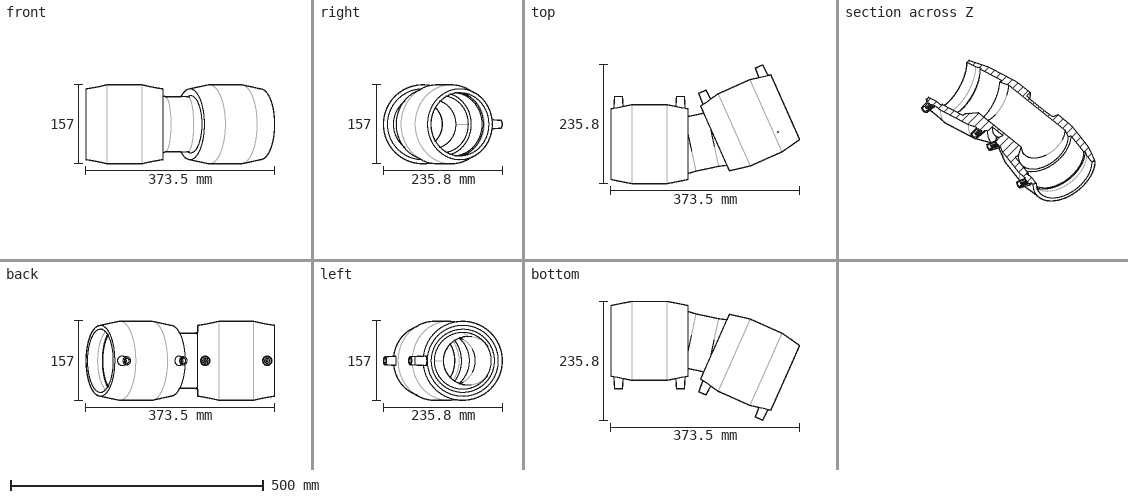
import cadquery as cq
import math


OVERALL_X = 373.5

BEND_ANGLE = 24.0
HALF_BEND = BEND_ANGLE / 2
MITRE_X = 157.0
MIDDLE_OUTER_D = 109.5
MIDDLE_BORE_D = 96.0
FLARE_START_X = 138.3
FUNNEL_END_X = 105.7

COUPLING_LENGTH = 152.5
COUPLING_OUTER_D = 157.0
COUPLING_END_D = 140.5
COUPLING_BORE_D = 125.0
TAPER_LENGTH = 42.0
STOP_X = 86.0
STOP_BORE_D = 112.5

GROOVE_START = 22.0
GROOVE_LENGTH = 11.2
GROOVE_DEPTH = 3.0

POST_INSET = 15.0
POST_TOP = 95.0
POST_ROOT = 67.3
POST_TOP_D = 16.0
POST_ROOT_D = 19.5
POST_HOLE_D = 10.0
POST_HOLE_DEPTH = 18.5
PIN_D = 4.0
PIN_RECESS = 5.5

X_AXIS = cq.Vector(1, 0, 0)

bend = math.radians(HALF_BEND)
full_bend = math.radians(BEND_ANGLE)
far_coupling_reach = MITRE_X * math.cos(full_bend) + COUPLING_END_D / 2 * math.sin(full_bend)
middle_length = (OVERALL_X - MITRE_X - far_coupling_reach) / math.cos(bend)

mid_point = (
    MITRE_X + middle_length / 2 * math.cos(bend),
    middle_length / 2 * math.sin(bend),
    0,
)
middle_plane = cq.Plane(
    origin=(MITRE_X, 0, 0),
    xDir=(-math.sin(bend), math.cos(bend), 0),
    normal=(math.cos(bend), math.sin(bend), 0),
)


def revolve_about_x(points):
    """Solid of revolution about X from (x, radius) points."""
    return cq.Workplane("XY").polyline(points).close().revolve(360, (0, 0, 0), (1, 0, 0))


def mirror_across_middle(shape):
    """Mirror in the plane that cuts the middle piece square at its centre."""
    z_axis_end = (0, 0, 1)
    back = tuple(-value for value in mid_point)
    local = shape.translate(back).rotate((0, 0, 0), z_axis_end, -HALF_BEND)
    return local.mirror("YZ").rotate((0, 0, 0), z_axis_end, HALF_BEND).translate(mid_point)


def loft_between(first_wire, second_wire):
    return cq.Workplane(cq.Solid.makeLoft([first_wire, second_wire], True))


def flare():
    """Flare of the elbow pipe where it sinks into the coupling face."""
    root_ring = cq.Wire.makeCircle(COUPLING_BORE_D / 2, cq.Vector(FLARE_START_X, 0, 0), X_AXIS)
    middle_ring = cq.Wire.makeCircle(MIDDLE_OUTER_D / 2, middle_plane.origin, middle_plane.zDir)
    return loft_between(root_ring, middle_ring)


def funnel():
    """Waterway from the pipe stop to the tilted section of the elbow bore."""
    bore_r = MIDDLE_BORE_D / 2
    stop_ring = cq.Wire.makeCircle(STOP_BORE_D / 2, cq.Vector(STOP_X, 0, 0), X_AXIS)
    tilted_section = cq.Wire.makeEllipse(
        bore_r / math.cos(bend),
        bore_r,
        cq.Vector(FUNNEL_END_X, (FUNNEL_END_X - MITRE_X) * math.tan(bend), 0),
        X_AXIS,
        cq.Vector(0, 1, 0),
    )
    return loft_between(stop_ring, tilted_section)


def middle_pipe():
    return cq.Workplane(middle_plane).circle(MIDDLE_OUTER_D / 2).extrude(middle_length)


def elbow_bore():
    """Bore along the middle axis, trimmed square to each coupling at its funnel."""
    overrun = MITRE_X - FUNNEL_END_X + MIDDLE_BORE_D
    bore = cq.Workplane(middle_plane).workplane(offset=-overrun).circle(MIDDLE_BORE_D / 2)
    bore = bore.extrude(middle_length + 2 * overrun)
    funnel_side = (
        cq.Workplane("XY")
        .box(OVERALL_X, OVERALL_X, OVERALL_X)
        .translate((FUNNEL_END_X - OVERALL_X / 2, 0, 0))
    )
    return bore.cut(funnel_side).cut(mirror_across_middle(funnel_side))


def coupling():
    """Barrel with tapered ends and a grooved pipe socket, solid beyond the stop."""
    end_r = COUPLING_END_D / 2
    outer_r = COUPLING_OUTER_D / 2
    bore_r = COUPLING_BORE_D / 2
    groove_end = GROOVE_START + GROOVE_LENGTH
    return revolve_about_x([
        (0, bore_r),
        (0, end_r),
        (TAPER_LENGTH, outer_r),
        (COUPLING_LENGTH - TAPER_LENGTH, outer_r),
        (COUPLING_LENGTH, end_r),
        (COUPLING_LENGTH, 0),
        (STOP_X, 0),
        (STOP_X, bore_r),
        (groove_end, bore_r),
        (groove_end, bore_r + GROOVE_DEPTH),
        (GROOVE_START, bore_r),
    ])


def terminal_post(x):
    """Tapered post along +Y with a blind hole and a contact pin inside it."""
    top_r = POST_TOP_D / 2
    root_r = POST_ROOT_D / 2
    hole_r = POST_HOLE_D / 2
    pin_r = PIN_D / 2
    hole_floor = POST_TOP - POST_HOLE_DEPTH
    pin_tip = POST_TOP - PIN_RECESS
    post = (
        cq.Workplane("XY")
        .polyline([
            (0, POST_ROOT),
            (root_r, POST_ROOT),
            (top_r, POST_TOP),
            (hole_r, POST_TOP),
            (hole_r, hole_floor),
            (pin_r, hole_floor),
            (pin_r, pin_tip),
            (0, pin_tip),
        ])
        .close()
        .revolve(360, (0, 0, 0), (0, 1, 0))
    )
    return post.translate((x, 0, 0))


half = coupling().union(flare()).cut(funnel())
for post_x in (POST_INSET, COUPLING_LENGTH - POST_INSET):
    half = half.union(terminal_post(post_x))

result = half.union(middle_pipe()).union(mirror_across_middle(half)).cut(elbow_bore())